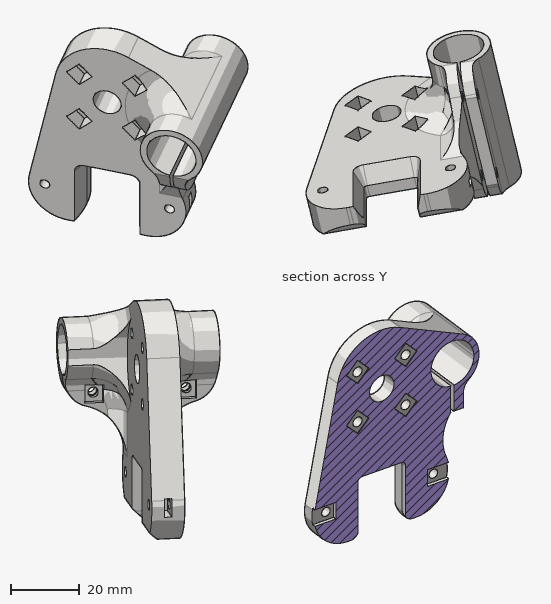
import math

import cadquery as cq


PLATE_THICKNESS = 9.8
PLATE_FACE_Y = PLATE_THICKNESS / 2
HEAD_CENTRE = (0.0, 4.0)
HEAD_RADIUS = 16.0
HEAD_TOP_Z = HEAD_CENTRE[1] + HEAD_RADIUS
FOOT_X = 12.0
FOOT_Z = -36.0
FOOT_RADIUS = 12.0
FOOT_BOTTOM_Z = FOOT_Z - FOOT_RADIUS

TUBE_CENTRE = (25.0, 0.0)
TUBE_X = TUBE_CENTRE[0]
TUBE_RADIUS = 9.5
TUBE_LENGTH = 45.0
TUBE_END_Y = TUBE_LENGTH / 2
BORE_DIAMETER = 15.0
FLANGE_FILLET = 10.0
MOTOR_CLEARANCE_RADIUS = 16.0

EAR_HALF_WIDTH = 4.0
EAR_LEFT_X = TUBE_X - EAR_HALF_WIDTH
EAR_RIGHT_X = TUBE_X + EAR_HALF_WIDTH
EAR_ROOT_FILLET = 5.0
EAR_ROUND_Z = -8.0
EAR_ROUND_RADIUS = 8.5
EAR_ROUND_Y = TUBE_END_Y - EAR_ROUND_RADIUS
EAR_BOTTOM_Z = EAR_ROUND_Z - EAR_ROUND_RADIUS
SLIT_WIDTH = 1.0
SWEEP_RADIUS = 15.0
WEB_FILLET = 5.0
WEB_ROOT = 1.0
WEB_MIDDLE_FILLET = 7.0

SPINDLE_DIAMETER = 8.5
MOTOR_HOLE_OFFSET = 8.5
MOTOR_HOLE_DIAMETER = 3.2
NUT_SIZE = 5.5
MOTOR_NUT_DEPTH = 5.0
SCREW_DIAMETER = 3.0
FOOT_HOLE_X = 19.0
FOOT_NUT_THICKNESS = 2.2
CLAMP_HOLE_Y = 13.75
CLAMP_HOLE_Z = -12.55
CLAMP_NUT_DEPTH = 1.75

SLOT_HALF_WIDTH = 8.0
SLOT_TOP_Z = -28.0
SLOT_CORNER_RADIUS = 1.0
SLOT_FLARE = 2.0
SLOT_FLARE_DEPTH = 6.0
SLOT_MOUTH_FILLET = 3.0
FOOT_CHAMFER = PLATE_THICKNESS - SLOT_FLARE_DEPTH


def polar(centre, radius, angle):
    return (centre[0] + radius * math.cos(angle), centre[1] + radius * math.sin(angle))


def heading(start, end):
    return math.atan2(end[1] - start[1], end[0] - start[0])


def toward(start, end, length):
    return polar(start, length, heading(start, end))


def outer_tangent(centre_a, radius_a, centre_b, radius_b):
    """Touch points of the common tangent lying to the left of the run from a to b."""
    spread = math.acos((radius_a - radius_b) / math.dist(centre_a, centre_b))
    angle = heading(centre_a, centre_b) + spread
    return polar(centre_a, radius_a, angle), polar(centre_b, radius_b, angle)


def arc_middle(centre, start, end):
    """Point halfway along the shorter arc from start to end."""
    chord_middle = ((start[0] + end[0]) / 2, (start[1] + end[1]) / 2)
    return toward(centre, chord_middle, math.dist(centre, start))


def front_prism(wire, y_start, y_end):
    """Extrude an (x, z) outline from y_start to y_end."""
    return wire.extrude(-(y_end - y_start)).translate((0, y_start, 0))


def front_cylinder(centre, diameter, y_start, y_end):
    circle = cq.Workplane("XZ").center(*centre).circle(diameter / 2)
    return front_prism(circle, y_start, y_end)


fillet_x = EAR_LEFT_X - EAR_ROOT_FILLET
fillet_z = -math.sqrt((TUBE_RADIUS + EAR_ROOT_FILLET) ** 2 - (TUBE_X - fillet_x) ** 2)
fillet_centre = (fillet_x, fillet_z)
fillet_on_tube = toward(TUBE_CENTRE, fillet_centre, TUBE_RADIUS)
fillet_on_ear = (EAR_LEFT_X, fillet_z)
fillet_middle = arc_middle(fillet_centre, fillet_on_tube, fillet_on_ear)

sweep_centre_y = PLATE_FACE_Y + SWEEP_RADIUS
sweep_centre_z = EAR_ROUND_Z - math.sqrt(
    (SWEEP_RADIUS + EAR_ROUND_RADIUS) ** 2 - (sweep_centre_y - EAR_ROUND_Y) ** 2
)


def mirror_about_tube(point):
    return (2 * TUBE_X - point[0], point[1])


def plate_outline():
    """Closed outline of head, tube, ears and feet, clockwise from the left foot."""
    left_foot = (-FOOT_X, FOOT_Z)
    right_foot = (FOOT_X, FOOT_Z)
    foot_left, head_left = outer_tangent(left_foot, FOOT_RADIUS, HEAD_CENTRE, HEAD_RADIUS)
    head_top, tube_top = outer_tangent(HEAD_CENTRE, HEAD_RADIUS, TUBE_CENTRE, TUBE_RADIUS)

    waist_start = (TUBE_X - SLIT_WIDTH / 2, EAR_BOTTOM_Z)
    reach = SWEEP_RADIUS + FOOT_RADIUS
    span = math.dist(right_foot, waist_start)
    turn = math.acos((reach**2 + span**2 - SWEEP_RADIUS**2) / (2 * reach * span))
    waist_centre = polar(right_foot, reach, heading(right_foot, waist_start) - turn)
    waist_end = toward(right_foot, waist_centre, FOOT_RADIUS)

    return (
        cq.Workplane("XZ")
        .moveTo(*foot_left)
        .lineTo(*head_left)
        .threePointArc(arc_middle(HEAD_CENTRE, head_left, head_top), head_top)
        .lineTo(*tube_top)
        .threePointArc((TUBE_X + TUBE_RADIUS, 0), mirror_about_tube(fillet_on_tube))
        .threePointArc(mirror_about_tube(fillet_middle), mirror_about_tube(fillet_on_ear))
        .lineTo(EAR_RIGHT_X, EAR_BOTTOM_Z)
        .lineTo(*waist_start)
        .threePointArc(arc_middle(waist_centre, waist_start, waist_end), waist_end)
        .threePointArc(
            arc_middle(right_foot, waist_end, (FOOT_X, FOOT_BOTTOM_Z)), (FOOT_X, FOOT_BOTTOM_Z)
        )
        .lineTo(-FOOT_X, FOOT_BOTTOM_Z)
        .threePointArc(
            arc_middle(left_foot, (-FOOT_X, FOOT_BOTTOM_Z), foot_left), foot_left
        )
        .close()
    )


def slot_cutter(y_front, length, taper=0):
    """Slot open downwards with rounded upper corners; a negative taper widens it to the front."""
    floor_z = 2 * FOOT_BOTTOM_Z - SLOT_TOP_Z
    outline = (
        cq.Sketch()
        .rect(2 * SLOT_HALF_WIDTH, SLOT_TOP_Z - floor_z)
        .vertices()
        .fillet(SLOT_CORNER_RADIUS)
    )
    return (
        cq.Workplane("XZ", origin=(0, y_front + length, FOOT_BOTTOM_Z))
        .placeSketch(outline)
        .extrude(length, taper=taper)
    )


def plate():
    body = front_prism(plate_outline(), -PLATE_FACE_Y, PLATE_FACE_Y)
    body = body.cut(slot_cutter(-PLATE_FACE_Y, PLATE_THICKNESS))
    mouth_corners = cq.selectors.BoxSelector(
        (-FOOT_X + SLOT_MOUTH_FILLET, -PLATE_FACE_Y, FOOT_BOTTOM_Z),
        (FOOT_X - SLOT_MOUTH_FILLET, PLATE_FACE_Y, FOOT_BOTTOM_Z + SLOT_MOUTH_FILLET),
    )
    body = body.edges("|Y").edges(mouth_corners).fillet(SLOT_MOUTH_FILLET)

    flare_angle = math.degrees(math.atan2(SLOT_FLARE, SLOT_FLARE_DEPTH))
    body = body.cut(slot_cutter(-PLATE_FACE_Y, SLOT_FLARE_DEPTH, -flare_angle))

    chamfer_waste = (
        cq.Workplane("YZ")
        .moveTo(PLATE_FACE_Y, FOOT_BOTTOM_Z)
        .lineTo(PLATE_FACE_Y - FOOT_CHAMFER, FOOT_BOTTOM_Z)
        .lineTo(PLATE_FACE_Y, FOOT_BOTTOM_Z + FOOT_CHAMFER)
        .close()
        .extrude(FOOT_X + FOOT_RADIUS, both=True)
    )
    return body.cut(chamfer_waste)


def flange():
    """Concave sweep from the front of the tube onto the front face of the plate."""
    rim = TUBE_RADIUS + FLANGE_FILLET
    arc_start = (rim, -PLATE_FACE_Y)
    arc_end = (TUBE_RADIUS, -PLATE_FACE_Y - FLANGE_FILLET)
    return (
        cq.Workplane("XY")
        .moveTo(0, 0)
        .lineTo(rim, 0)
        .lineTo(*arc_start)
        .threePointArc(arc_middle((rim, arc_end[1]), arc_start, arc_end), arc_end)
        .lineTo(0, arc_end[1])
        .close()
        .revolve(360, (0, 0, 0), (0, 1, 0))
        .translate((TUBE_X, 0, TUBE_CENTRE[1]))
    )


def web_section(ear_point, angle, radius):
    """Concave corner between ear side and front plate face, in the vertical plane at this angle."""
    across = cq.Vector(math.cos(angle), 0, math.sin(angle))
    forward = cq.Vector(0, -1, 0)
    plane = cq.Plane((ear_point[0], -PLATE_FACE_Y, ear_point[1]), across, across.cross(forward))
    on_plate = (radius, 0)
    on_ear = (0, radius)
    return (
        cq.Workplane(plane)
        .moveTo(-WEB_ROOT, radius)
        .lineTo(-WEB_ROOT, -WEB_ROOT)
        .lineTo(radius, -WEB_ROOT)
        .lineTo(*on_plate)
        .threePointArc(arc_middle((radius, radius), on_plate, on_ear), on_ear)
        .close()
        .val()
    )


def web():
    """Fillet from the ear side to the front plate face, turning and growing into the flange."""
    rim = TUBE_RADIUS + FLANGE_FILLET
    lower_z = -math.sqrt(rim**2 - (EAR_HALF_WIDTH + WEB_FILLET) ** 2)
    level = -math.pi
    radial = heading(TUBE_CENTRE, fillet_on_tube)
    sections = [
        web_section((EAR_LEFT_X, sweep_centre_z), level, WEB_FILLET),
        web_section((EAR_LEFT_X, lower_z), level, WEB_FILLET),
        web_section(fillet_on_ear, (level + radial) / 2, WEB_MIDDLE_FILLET),
        web_section(fillet_on_tube, radial, FLANGE_FILLET),
    ]
    return cq.Workplane(cq.Solid.makeLoft(sections, True))


def ears():
    """Ear block over the whole tube length, with the root fillet on its left side."""
    outline = (
        cq.Workplane("XZ")
        .moveTo(*TUBE_CENTRE)
        .lineTo(*fillet_on_tube)
        .threePointArc(fillet_middle, fillet_on_ear)
        .lineTo(EAR_LEFT_X, sweep_centre_z)
        .lineTo(TUBE_X + TUBE_RADIUS, sweep_centre_z)
        .lineTo(TUBE_X + TUBE_RADIUS, 0)
        .close()
    )
    return front_prism(outline, -TUBE_END_Y, TUBE_END_Y)


def clamp_side_profile():
    """Clamp shape seen along X: square above, rounded ear ends that sweep down onto the plate."""
    round_centre = (EAR_ROUND_Y, EAR_ROUND_Z)
    sweep_centre = (sweep_centre_y, sweep_centre_z)
    round_start = (TUBE_END_Y, EAR_ROUND_Z)
    round_end = toward(round_centre, sweep_centre, EAR_ROUND_RADIUS)
    sweep_end = (PLATE_FACE_Y, sweep_centre_z)
    half = (
        cq.Workplane("YZ")
        .moveTo(0, HEAD_TOP_Z)
        .lineTo(TUBE_END_Y, HEAD_TOP_Z)
        .lineTo(*round_start)
        .threePointArc(arc_middle(round_centre, round_start, round_end), round_end)
        .threePointArc(arc_middle(sweep_centre, round_end, sweep_end), sweep_end)
        .lineTo(0, sweep_centre_z)
        .close()
        .extrude(TUBE_X + TUBE_RADIUS)
    )
    return half.union(half.mirror("XZ"))


def on_both_sides(front_body):
    return front_body.union(front_body.mirror("XZ"))


def clamp():
    """Tube with ears, flanges and webs, kept inside the plate outline and the side profile."""
    outline = front_prism(plate_outline(), -TUBE_END_Y, TUBE_END_Y)
    side_profile = clamp_side_profile()
    tube = front_cylinder(TUBE_CENTRE, 2 * TUBE_RADIUS, -TUBE_END_Y, TUBE_END_Y)
    body = tube.union(ears().intersect(outline)).intersect(side_profile)
    body = body.union(on_both_sides(flange()).intersect(outline))
    return body.union(on_both_sides(web()).intersect(outline).intersect(side_profile))


def cut_motor_mount(body):
    """Motor relief, spindle hole, and motor screw holes with square nut pockets set on edge."""
    body = body.cut(
        front_cylinder((0, 0), 2 * MOTOR_CLEARANCE_RADIUS, PLATE_FACE_Y, TUBE_END_Y)
    )
    body = body.cut(front_cylinder((0, 0), SPINDLE_DIAMETER, -PLATE_FACE_Y, PLATE_FACE_Y))
    pocket_floor_y = -PLATE_FACE_Y + MOTOR_NUT_DEPTH
    for x in (-MOTOR_HOLE_OFFSET, MOTOR_HOLE_OFFSET):
        for z in (-MOTOR_HOLE_OFFSET, MOTOR_HOLE_OFFSET):
            body = body.cut(front_cylinder((x, z), MOTOR_HOLE_DIAMETER, -TUBE_END_Y, TUBE_END_Y))
            diamond = cq.Workplane("XZ").center(x, z).polygon(4, NUT_SIZE * math.sqrt(2))
            body = body.cut(front_prism(diamond, -TUBE_END_Y, pocket_floor_y))
    return body


def cut_foot_screws(body):
    """Screw hole in each foot, with a nut slot reaching it from the outer side."""
    nut_inner_x = FOOT_HOLE_X - NUT_SIZE / 2
    nut_length = FOOT_X + FOOT_RADIUS - nut_inner_x
    for side in (-1, 1):
        hole = (side * FOOT_HOLE_X, FOOT_Z)
        body = body.cut(front_cylinder(hole, SCREW_DIAMETER, -PLATE_FACE_Y, PLATE_FACE_Y))
        nut_slot = cq.Workplane().box(nut_length, FOOT_NUT_THICKNESS, NUT_SIZE)
        nut_middle_x = side * (nut_inner_x + nut_length / 2)
        body = body.cut(nut_slot.translate((nut_middle_x, 0, FOOT_Z)))
    return body


def cut_clamp(body):
    """Bore, slit, and the two clamp screws with square nut pockets in the left ear."""
    body = body.cut(front_cylinder(TUBE_CENTRE, BORE_DIAMETER, -TUBE_END_Y, TUBE_END_Y))
    slit = cq.Workplane().box(SLIT_WIDTH, TUBE_LENGTH, -EAR_BOTTOM_Z)
    body = body.cut(slit.translate((TUBE_X, 0, EAR_BOTTOM_Z / 2)))

    screw = cq.Workplane("YZ").circle(SCREW_DIAMETER / 2).extrude(EAR_RIGHT_X)
    nut = cq.Workplane("YZ").rect(NUT_SIZE, NUT_SIZE).extrude(EAR_LEFT_X + CLAMP_NUT_DEPTH)
    for y in (-CLAMP_HOLE_Y, CLAMP_HOLE_Y):
        body = body.cut(screw.union(nut).translate((0, y, CLAMP_HOLE_Z)))
    return body


def motor_bracket():
    body = plate().union(clamp())
    body = cut_motor_mount(body)
    body = cut_foot_screws(body)
    return cut_clamp(body)


result = motor_bracket()